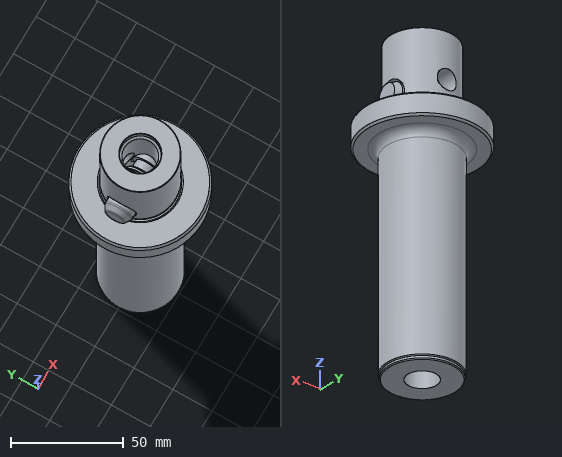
import cadquery as cq

TOTAL_HEIGHT = 169.0
HEAD_HEIGHT = 40.0
FLANGE_THICKNESS = 12.0
FLANGE_TOP = TOTAL_HEIGHT - HEAD_HEIGHT
FLANGE_BOTTOM = FLANGE_TOP - FLANGE_THICKNESS

HEAD_DIAMETER = 36.0
HEAD_RADIUS = HEAD_DIAMETER / 2
RIM_CHAMFER = 0.25
FLANGE_RADIUS = 31.8
FLANGE_CHAMFER = 1.0
SHANK_RADIUS = 19.6
SHANK_FILLET = 4.5
SHANK_TIP_LENGTH = 2.2
SHANK_TIP_STEP = 0.5
SHANK_TIP_CHAMFER = 0.5

RELIEF_HEIGHT = 1.7
RELIEF_DEPTH = 0.5
RELIEF_NECK_HEIGHT = 0.5
RELIEF_OUTER_RADIUS = 19.1
RELIEF_FLOOR_RADIUS = 18.5

BORE_RADIUS = 8.1
COUNTERBORE_RADIUS = 9.3
COUNTERBORE_DEPTH = 3.0
COUNTERBORE_CONE = 0.7

CROSS_Z = 137.9
CROSS_HOLE_RADIUS = 7.1
CROSS_MOUTH_RADIUS = 8.0
CROSS_CONE_LENGTH = 3.0

SIDE_HOLE_RADIUS = 5.4
SIDE_HOLE_Z = 144.7

PIN_RADIUS = 7.0
JOINT_X = 0.8
NOSE_X = -22.6
NOSE_BASE_X = -19.5
NOSE_FACE_RADIUS = 4.9
NOSE_FACE_FILLET = 0.8
NOSE_BASE_FILLET = 1.4
GROOVE_X = -1.9
GROOVE_WIDTH = 1.0
GROOVE_RADIUS = 5.7
COLLAR_CHAMFER = 0.7
STUD_RADIUS = 5.0
STUD_LENGTH = 4.4
TAPER_START_X = 16.9
TAPER_END_X = 20.3
TAPER_END_RADIUS = 5.4


def housing_blank():
    """Turned outside of the housing: shank, flange and head."""
    tip_radius = SHANK_RADIUS - SHANK_TIP_STEP
    return (
        cq.Workplane("XZ")
        .moveTo(0, 0)
        .lineTo(tip_radius - SHANK_TIP_CHAMFER, 0)
        .lineTo(tip_radius, SHANK_TIP_CHAMFER)
        .lineTo(tip_radius, SHANK_TIP_LENGTH - SHANK_TIP_STEP)
        .lineTo(SHANK_RADIUS, SHANK_TIP_LENGTH)
        .lineTo(SHANK_RADIUS, FLANGE_BOTTOM - SHANK_FILLET)
        .radiusArc((SHANK_RADIUS + SHANK_FILLET, FLANGE_BOTTOM), SHANK_FILLET)
        .lineTo(FLANGE_RADIUS - FLANGE_CHAMFER, FLANGE_BOTTOM)
        .lineTo(FLANGE_RADIUS, FLANGE_BOTTOM + FLANGE_CHAMFER)
        .lineTo(FLANGE_RADIUS, FLANGE_TOP - FLANGE_CHAMFER)
        .lineTo(FLANGE_RADIUS - FLANGE_CHAMFER, FLANGE_TOP)
        .lineTo(RELIEF_OUTER_RADIUS, FLANGE_TOP)
        .lineTo(RELIEF_FLOOR_RADIUS, FLANGE_TOP - RELIEF_DEPTH)
        .lineTo(HEAD_RADIUS - RELIEF_DEPTH, FLANGE_TOP - RELIEF_DEPTH)
        .lineTo(HEAD_RADIUS - RELIEF_DEPTH, FLANGE_TOP + RELIEF_NECK_HEIGHT)
        .lineTo(HEAD_RADIUS, FLANGE_TOP + RELIEF_HEIGHT)
        .lineTo(HEAD_RADIUS, TOTAL_HEIGHT - RIM_CHAMFER)
        .lineTo(HEAD_RADIUS - RIM_CHAMFER, TOTAL_HEIGHT)
        .lineTo(0, TOTAL_HEIGHT)
        .close()
        .revolve(360, (0, 0), (0, 1))
    )


def bore_cutter():
    """Through bore with a counterbore that narrows over a cone."""
    cone_top = TOTAL_HEIGHT - COUNTERBORE_DEPTH
    return (
        cq.Workplane("XZ")
        .moveTo(0, 0)
        .lineTo(BORE_RADIUS, 0)
        .lineTo(BORE_RADIUS, cone_top - COUNTERBORE_CONE)
        .lineTo(COUNTERBORE_RADIUS, cone_top)
        .lineTo(COUNTERBORE_RADIUS, TOTAL_HEIGHT - RIM_CHAMFER)
        .lineTo(COUNTERBORE_RADIUS + RIM_CHAMFER, TOTAL_HEIGHT)
        .lineTo(0, TOTAL_HEIGHT)
        .close()
        .revolve(360, (0, 0), (0, 1))
    )


def cross_hole_cutter():
    """Hole along X with a flared mouth at each end."""
    cone_start = HEAD_RADIUS - CROSS_CONE_LENGTH
    return (
        cq.Workplane("XY", origin=(0, 0, CROSS_Z))
        .moveTo(-HEAD_RADIUS, 0)
        .lineTo(-HEAD_RADIUS, CROSS_MOUTH_RADIUS)
        .lineTo(-cone_start, CROSS_HOLE_RADIUS)
        .lineTo(cone_start, CROSS_HOLE_RADIUS)
        .lineTo(HEAD_RADIUS, CROSS_MOUTH_RADIUS)
        .lineTo(HEAD_RADIUS, 0)
        .close()
        .revolve(360, (0, 0), (1, 0))
    )


def side_hole_cutter():
    """Radial hole from the bore out through the +Y side."""
    return (
        cq.Workplane("XZ", origin=(0, 0, SIDE_HOLE_Z))
        .circle(SIDE_HOLE_RADIUS)
        .extrude(-HEAD_RADIUS)
    )


def make_housing():
    return (
        housing_blank()
        .cut(bore_cutter())
        .cut(cross_hole_cutter())
        .cut(side_hole_cutter())
    )


def make_cone_nosed_pin():
    """Pin on the -X side: conical nose with rounded edges, ring groove and a chamfered inner end."""
    nose_base = cq.selectors.NearestToPointSelector((NOSE_BASE_X, 0, CROSS_Z))
    return (
        cq.Workplane("XY", origin=(0, 0, CROSS_Z))
        .moveTo(NOSE_X, 0)
        .lineTo(NOSE_X, NOSE_FACE_RADIUS)
        .lineTo(NOSE_BASE_X, PIN_RADIUS)
        .lineTo(GROOVE_X, PIN_RADIUS)
        .lineTo(GROOVE_X, GROOVE_RADIUS)
        .lineTo(GROOVE_X + GROOVE_WIDTH, GROOVE_RADIUS)
        .lineTo(GROOVE_X + GROOVE_WIDTH, PIN_RADIUS)
        .lineTo(JOINT_X - COLLAR_CHAMFER, PIN_RADIUS)
        .lineTo(JOINT_X, PIN_RADIUS - COLLAR_CHAMFER)
        .lineTo(JOINT_X, 0)
        .close()
        .revolve(360, (0, 0), (1, 0))
        .edges(nose_base)
        .fillet(NOSE_BASE_FILLET)
        .faces("<X")
        .edges()
        .fillet(NOSE_FACE_FILLET)
    )


def make_studded_pin():
    """Pin on the +X side: a stud that meets the other pin, and a tapered outer end."""
    shoulder_x = JOINT_X + STUD_LENGTH
    return (
        cq.Workplane("XY", origin=(0, 0, CROSS_Z))
        .moveTo(JOINT_X, 0)
        .lineTo(JOINT_X, STUD_RADIUS)
        .lineTo(shoulder_x, STUD_RADIUS)
        .lineTo(shoulder_x, PIN_RADIUS)
        .lineTo(TAPER_START_X, PIN_RADIUS)
        .lineTo(TAPER_END_X, TAPER_END_RADIUS)
        .lineTo(TAPER_END_X, 0)
        .close()
        .revolve(360, (0, 0), (1, 0))
    )


housing = make_housing()
cone_nosed_pin = make_cone_nosed_pin()
studded_pin = make_studded_pin()

result = cq.Compound.makeCompound([housing.val(), cone_nosed_pin.val(), studded_pin.val()])